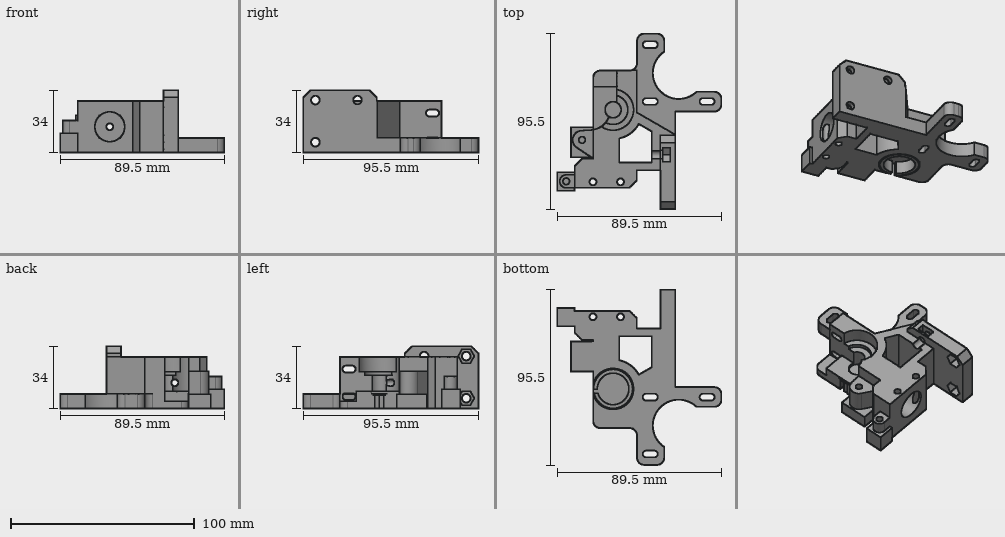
import cadquery as cq
import math


edge_break = 4.0
screw_radius = 1.8
bolt_radius = 2.3
nut_flats = 7.6
nut_corners = nut_flats / math.cos(math.pi / 6)

block_width = 23.9
block_depth = 63.9
block_height = 28.2
front_left = -10.0
front_depth = 15.95
rib_front = 9.55
brace_angle = 30
brace_start = 41.0

flange_left = 36.7
flange_right = 44.8
flange_front = -11.6
flange_back = 28.65
flange_height = 34.0

plate_thickness = 8.0
plate_back = 83.9
plate_right = 69.9
back_arm_right = 38.8
side_arm_front = 41.4
side_arm_back = 52.3
motor_x = 46.6
motor_y = 62.5
motor_radius = 14.0
motor_bolt_pitch = 30.9
motor_slot_length = 8.0
motor_slot_width = 3.5

shaft_x = 10.9
shaft_y = 42.5
shaft_radius = 4.4
bearing_radius = 11.2
top_bearing_depth = 8.1
shoulder_radius = 8.0
shoulder_depth = 2.0
bottom_bearing_depth = 8.0

disc_radius = 10.9
disc_thickness = 0.7
ring_radius = 10.6
ring_wall = 2.0
ring_split_front = 42.6
ring_split_back = 44.9

recess_right = 12.9
recess_floor = 9.4
recess_back = 55.1
idler_x = -1.6
idler_y = 42.4
idler_radius = 10.9
ledge_height = 4.0

bolt_slot_length = 7.1
bolt_slot_width = 3.6
bolt_slot_y = 58.9
bolt_slot_levels = (6.5, 21.5)

window_left = 14.3
window_right = 31.9
window_front = 13.8
window_corner_y = 30.7
bearing_wall_radius = 16.0

hinge_x = -6.0
hinge_y = 26.1
hinge_radius = 5.1
hinge_bottom = 7.7
hinge_top = 20.4
hinge_back = 31.5
hinge_pad_left = -12.1
hinge_pad_front = 16.6
hinge_pad_back = 33.0
stub_x = -14.6
stub_y = 3.5
stub_radius = 3.5
stub_bottom = 10.6
stub_top = 17.6
stub_pad_left = -19.6
stub_pad_front = -1.6
stub_pad_back = 8.5

socket_x = 7.45
socket_z = 14.0
socket_radius = 8.1
socket_depth = 10.0
retainer_pitch = 15.0
retainer_y = 3.2

flange_bolt_y = -4.9
flange_bolt_levels = (5.6, 28.6)
flange_nut_depth = 5.0
cross_bolt_y = 18.05
cross_bolt_z = 28.6
cross_nut_left = 37.9
cross_nut_right = 41.9


def box(x0, x1, y0, y1, z0, z1):
    return cq.Workplane("XY").box(x1 - x0, y1 - y0, z1 - z0, centered=False).translate((x0, y0, z0))


def upright_cylinder(x, y, radius, z0, z1):
    return cq.Workplane("XY", origin=(x, y, z0)).circle(radius).extrude(z1 - z0)


def cross_cylinder(y, z, radius, x0, x1):
    return cq.Workplane("YZ", origin=(x0, y, z)).circle(radius).extrude(x1 - x0)


def brace_y(x):
    """Back face of the brace, which slopes forward to the right."""
    return brace_start - (x - block_width) * math.tan(math.radians(brace_angle))


def make_block():
    outline = [
        (0, front_depth),
        (0, block_depth),
        (block_width, block_depth),
        (block_width, brace_start),
        (flange_right, brace_y(flange_right)),
        (flange_right, rib_front),
        (block_width, rib_front),
        (block_width, edge_break),
        (block_width - edge_break, 0),
        (front_left, 0),
        (front_left, front_depth - edge_break),
        (front_left + edge_break, front_depth),
    ]
    block = cq.Workplane("XY").polyline(outline).close().extrude(block_height)
    back_left_edge = cq.selectors.NearestToPointSelector((0, block_depth, block_height / 2))
    return block.edges(back_left_edge).fillet(edge_break)


def make_window():
    sloped_rise = (window_right - window_left) * math.tan(math.radians(brace_angle))
    opening = (
        cq.Workplane("XY")
        .moveTo(window_left, window_front)
        .lineTo(window_right, window_front)
        .lineTo(window_right, window_corner_y)
        .lineTo(window_left, window_corner_y + sloped_rise)
        .close()
        .extrude(block_height)
    )
    return opening.cut(upright_cylinder(shaft_x, shaft_y, bearing_wall_radius, 0, block_height))


def make_motor_plate():
    back_arm = box(block_width, back_arm_right, side_arm_front, plate_back, 0, plate_thickness)
    back_arm = back_arm.edges("|Z and >Y").fillet(edge_break)
    side_arm = box(block_width, plate_right, side_arm_front, side_arm_back, 0, plate_thickness)
    side_arm = side_arm.edges("|Z and >X").fillet(edge_break)
    root = box(block_width, flange_right, flange_back, side_arm_front, 0, plate_thickness)
    corner_x = block_width - edge_break
    corner_y = block_depth + edge_break
    corner = box(corner_x, block_width, block_depth, corner_y, 0, plate_thickness)
    corner = corner.cut(upright_cylinder(corner_x, corner_y, edge_break, 0, plate_thickness))
    plate = back_arm.union(side_arm).union(root).union(corner)
    plate = plate.cut(upright_cylinder(motor_x, motor_y, motor_radius, 0, plate_thickness))

    half_pitch = motor_bolt_pitch / 2
    slot_centers = [
        (motor_x - half_pitch, motor_y + half_pitch),
        (motor_x - half_pitch, motor_y - half_pitch),
        (motor_x + half_pitch, motor_y - half_pitch),
    ]
    slots = (
        cq.Workplane("XY")
        .pushPoints(slot_centers)
        .slot2D(motor_slot_length, motor_slot_width)
        .extrude(plate_thickness)
    )
    return plate.cut(slots)


def make_flange():
    flange = box(flange_left, flange_right, flange_front, flange_back, 0, flange_height)
    return flange.edges("|X and >Z").chamfer(edge_break)


def cut_flange_bolts(body):
    for level in flange_bolt_levels:
        nut = (
            cq.Workplane("YZ", origin=(flange_left, flange_bolt_y, level))
            .polygon(6, nut_corners)
            .extrude(flange_nut_depth)
        )
        body = body.cut(cross_cylinder(flange_bolt_y, level, bolt_radius, flange_left, flange_right))
        body = body.cut(nut)
    return body


def cut_cross_bolt(body):
    """Bolt hole from the window through the flange, with a nut trap open at the top."""
    bolt = cross_cylinder(cross_bolt_y, cross_bolt_z, bolt_radius, window_right, flange_right)
    nut_width = cross_nut_right - cross_nut_left
    nut = (
        cq.Workplane("YZ", origin=(cross_nut_left, cross_bolt_y, cross_bolt_z))
        .transformed(rotate=(0, 0, 30))
        .polygon(6, nut_corners)
        .extrude(nut_width)
    )
    entry = box(
        cross_nut_left, cross_nut_right,
        cross_bolt_y - nut_flats / 2, cross_bolt_y + nut_flats / 2,
        cross_bolt_z, flange_height,
    )
    return body.cut(bolt).cut(nut).cut(entry)


def make_idler_recess():
    beside_shaft = box(0, recess_right, shaft_y, recess_back, recess_floor, block_height)
    behind = box(0, recess_right, recess_back, block_depth, ledge_height, block_height)
    sweep = upright_cylinder(idler_x, idler_y, idler_radius, recess_floor, block_height)
    return beside_shaft.union(behind).union(sweep)


def make_shaft_bore():
    shoulder_top = block_height - top_bearing_depth
    levels = [
        (bearing_radius, shoulder_top, block_height),
        (shoulder_radius, shoulder_top - shoulder_depth, shoulder_top),
        (shaft_radius, bottom_bearing_depth, shoulder_top),
        (bearing_radius, 0, bottom_bearing_depth),
    ]
    bore = cq.Workplane("XY")
    for radius, bottom, top in levels:
        bore = bore.add(upright_cylinder(shaft_x, shaft_y, radius, bottom, top))
    return bore.combine()


def make_bearing_support():
    ring_top = bottom_bearing_depth - disc_thickness
    ring = upright_cylinder(shaft_x, shaft_y, ring_radius, 0, ring_top)
    ring = ring.cut(upright_cylinder(shaft_x, shaft_y, ring_radius - ring_wall, 0, ring_top))
    ring = ring.cut(box(0, shaft_x, ring_split_front, ring_split_back, 0, ring_top))
    return ring.union(upright_cylinder(shaft_x, shaft_y, disc_radius, ring_top, bottom_bearing_depth))


def make_bolt_slots():
    return (
        cq.Workplane("YZ", origin=(recess_right, bolt_slot_y, 0))
        .pushPoints([(0, level) for level in bolt_slot_levels])
        .slot2D(bolt_slot_length, bolt_slot_width)
        .extrude(block_width - recess_right)
    )


def tangent_point(from_x, from_y, side):
    """Point on the hinge boss circle touched by a line from a given point."""
    away_x = from_x - hinge_x
    away_y = from_y - hinge_y
    spread = math.acos(hinge_radius / math.hypot(away_x, away_y))
    angle = math.atan2(away_y, away_x) + side * spread
    return (hinge_x + hinge_radius * math.cos(angle), hinge_y + hinge_radius * math.sin(angle))


def make_hinge_boss():
    boss = (
        cq.Workplane("XY", origin=(0, 0, hinge_bottom))
        .moveTo(0, hinge_back)
        .lineTo(*tangent_point(0, hinge_back, 1))
        .threePointArc((hinge_x - hinge_radius, hinge_y), tangent_point(0, front_depth, -1))
        .lineTo(0, front_depth)
        .close()
        .extrude(hinge_top - hinge_bottom)
    )
    boss = boss.cut(upright_cylinder(hinge_x, hinge_y, screw_radius, hinge_bottom, hinge_top))
    pad = box(hinge_pad_left, 0, hinge_pad_front, hinge_pad_back, 0, hinge_bottom)
    return boss.union(pad)


def make_hinge_stub():
    stub = upright_cylinder(stub_x, stub_y, stub_radius, stub_bottom, stub_top)
    neck = box(stub_x, front_left, stub_y - stub_radius, stub_y + stub_radius, stub_bottom, stub_top)
    hole = upright_cylinder(stub_x, stub_y, screw_radius, stub_bottom, stub_top)
    pad = box(stub_pad_left, front_left, stub_pad_front, stub_pad_back, 0, stub_bottom)
    return stub.union(neck).cut(hole).union(pad)


def cut_hot_end(body):
    def bore(radius, depth):
        return cq.Workplane("XZ", origin=(socket_x, 0, socket_z)).circle(radius).extrude(-depth)

    body = body.cut(bore(socket_radius, socket_depth)).cut(bore(screw_radius, block_depth))
    for side in (-1, 1):
        retainer_x = socket_x + side * retainer_pitch / 2
        body = body.cut(upright_cylinder(retainer_x, retainer_y, screw_radius, 0, block_height))
    return body


result = make_block()
result = result.cut(make_idler_recess()).cut(make_shaft_bore()).cut(make_bolt_slots())
result = result.union(make_bearing_support())
result = cut_hot_end(result)
result = result.union(make_motor_plate()).union(make_flange()).cut(make_window())
result = cut_cross_bolt(cut_flange_bolts(result))
result = result.union(make_hinge_boss()).union(make_hinge_stub())